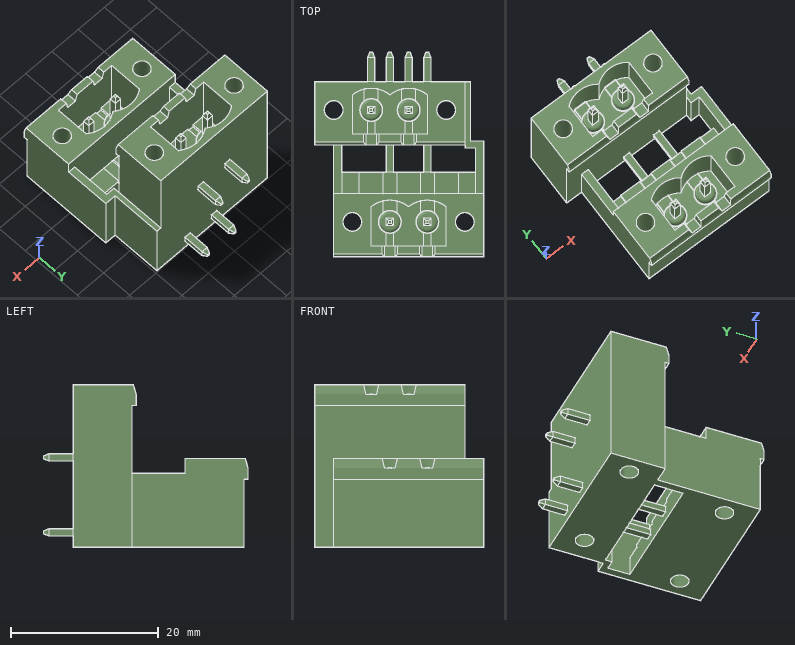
import cadquery as cq

pitch = 5.07
row_width = 20.33
row_offset_x = 2.52
row_offset_y = 15.12
tall_top = 22.0
low_top = 12.02

block_depth = 8.0
lip_reach = 0.55
lip_height = 2.83
lip_chamfer_reach = 0.4
lip_chamfer_height = 1.3
lip_front = block_depth + lip_reach

pocket_depth = 8.53
pocket_front = 7.1
pocket_corner = 1.77
pocket_arc_apex = 0.9

notch_top_width = 2.05
notch_bottom_width = 1.45
notch_depth = lip_chamfer_height

contact_y = 3.82
mounting_diameter = 2.5
mounting_spacing = 3 * pitch

pin_size = 1.0
pin_tip_size = 0.4
pin_tip_length = 0.75
pin_tip_below_top = 1.25
pin_tail = 4.02
tall_pin_z = 12.15
low_pin_z = 2.02
collar_diameter = 3.0
collar_fillet = 0.47
collar_base_diameter = 3.1
collar_base_height = 0.25
collar_height = 1.0

groove_depth = 0.5
rear_groove_width = 1.88

wall_top = 10.03
wall_thickness = 1.14
jog_depth = 0.97
side_strip = 0.75
ledge_depth = 2.9
ledge_center_width = 13.43

low_right = row_offset_x + row_width
low_rear = -row_offset_y

tall_row = (0, 0, tall_top, tall_pin_z)
low_row = (row_offset_x, low_rear, low_top, low_pin_z)
rows = (tall_row, low_row)


def box(x0, x1, y0, y1, z0, z1):
    """Box between two opposite corners."""
    return cq.Workplane("XY").box(x1 - x0, y1 - y0, z1 - z0, centered=False).translate((x0, y0, z0))


def contact_xs(left):
    """X positions of the two contacts of a row."""
    center = left + row_width / 2
    return (center - pitch / 2, center + pitch / 2)


def block(left, rear, top):
    """Connector block with the chamfered lip along its front edge."""
    return (
        cq.Workplane("YZ")
        .moveTo(rear, 0)
        .lineTo(rear - block_depth, 0)
        .lineTo(rear - block_depth, top - lip_height)
        .lineTo(rear - lip_front, top - lip_height)
        .lineTo(rear - lip_front, top - lip_chamfer_height)
        .lineTo(rear - lip_front + lip_chamfer_reach, top)
        .lineTo(rear, top)
        .close()
        .extrude(row_width)
        .translate((left, 0, 0))
    )


def joining_walls():
    """Left wall, and the right wall that jogs inward and runs along the tall block."""
    left_wall = box(row_offset_x, row_offset_x + wall_thickness, low_rear, -block_depth, 0, wall_top)
    right_wall = box(low_right - wall_thickness, low_right, low_rear, -block_depth, 0, wall_top)
    jog = box(row_width, low_right, -block_depth - jog_depth, -block_depth, 0, wall_top)
    strip = box(row_width, row_width + side_strip, -block_depth - jog_depth, 0, 0, wall_top)
    return left_wall.union(right_wall).union(jog).union(strip)


def ledge():
    """Low ledge behind the low block: a raised middle with a lower step at each end."""
    floor = low_top - pocket_depth
    center = row_offset_x + row_width / 2
    half = ledge_center_width / 2
    rear = low_rear + ledge_depth
    steps = box(row_offset_x, low_right, low_rear, rear, 0, floor - groove_depth)
    middle = box(center - half, center + half, low_rear, rear, 0, floor)
    return steps.union(middle)


def pocket(left, rear, top):
    """Plug pocket with a straight front wall and two arcs at the rear."""
    center = left + row_width / 2
    corner_y = rear - pocket_corner
    apex_y = rear - pocket_arc_apex
    front_y = rear - pocket_front
    return (
        cq.Workplane("XY", origin=(0, 0, top - pocket_depth))
        .moveTo(center - pitch, front_y)
        .lineTo(center + pitch, front_y)
        .lineTo(center + pitch, corner_y)
        .threePointArc((center + pitch / 2, apex_y), (center, corner_y))
        .threePointArc((center - pitch / 2, apex_y), (center - pitch, corner_y))
        .close()
        .extrude(pocket_depth)
    )


def notch(x, rear, top):
    """Tapered notch from the pocket through the front rim."""
    return (
        cq.Workplane("XZ", origin=(x, rear - pocket_front, top))
        .moveTo(-notch_top_width / 2, 0)
        .lineTo(notch_top_width / 2, 0)
        .lineTo(notch_bottom_width / 2, -notch_depth)
        .lineTo(-notch_bottom_width / 2, -notch_depth)
        .close()
        .extrude(lip_front - pocket_front)
    )


def floor_grooves(x, rear, groove_rear, top):
    """Wide groove behind the collar and narrow groove in front of it."""
    floor = top - pocket_depth
    collar_y = rear - contact_y
    overlap = collar_diameter / 2 - collar_fillet
    wide = box(
        x - rear_groove_width / 2, x + rear_groove_width / 2,
        collar_y + overlap, groove_rear, floor - groove_depth, floor,
    )
    narrow = box(
        x - pin_size / 2, x + pin_size / 2,
        rear - pocket_front, collar_y - overlap, floor - groove_depth, floor,
    )
    return wide.union(narrow)


def mounting_holes(left, rear, top):
    """Two vertical through holes beside the pocket."""
    return (
        cq.Workplane("XY", origin=(left + row_width / 2, rear - contact_y, 0))
        .pushPoints([(-mounting_spacing / 2, 0), (mounting_spacing / 2, 0)])
        .circle(mounting_diameter / 2)
        .extrude(top)
    )


def make_housing():
    """Both connector blocks with their joining walls and ledge, without the pin holes."""
    body = block(*tall_row[:3]).union(block(*low_row[:3])).union(joining_walls()).union(ledge())
    groove_rears = (-pocket_arc_apex, low_rear + ledge_depth)
    for (left, rear, top, _), groove_rear in zip(rows, groove_rears):
        body = body.cut(pocket(left, rear, top)).cut(mounting_holes(left, rear, top))
        for x in contact_xs(left):
            body = body.cut(notch(x, rear, top)).cut(floor_grooves(x, rear, groove_rear, top))
    return body


def pin_tip(plane):
    """Tapered square tip that starts on the given plane."""
    return (
        cq.Workplane(plane)
        .rect(pin_size, pin_size)
        .workplane(offset=pin_tip_length)
        .rect(pin_tip_size, pin_tip_size)
        .loft(combine=True)
    )


def make_pin(x, rear, top, leg_z):
    """Square right-angle pin: a leg out through the rear and a leg up into the pocket."""
    half = pin_size / 2
    y = rear - contact_y
    tail_y = pin_tail - pin_tip_length
    contact_z = top - pin_tip_below_top - pin_tip_length
    rear_leg = box(x - half, x + half, y - half, tail_y, leg_z - half, leg_z + half)
    upright_leg = box(x - half, x + half, y - half, y + half, leg_z - half, contact_z)
    rear_tip = pin_tip(cq.Plane(origin=(x, tail_y, leg_z), xDir=(1, 0, 0), normal=(0, 1, 0)))
    upper_tip = pin_tip(cq.Plane(origin=(x, y, contact_z), xDir=(1, 0, 0), normal=(0, 0, 1)))
    return rear_leg.union(upright_leg).union(rear_tip).union(upper_tip)


def make_collar(x, rear, top):
    """Round collar on the pocket floor: a wider base, a rounded rim and a square hole for the pin."""
    rim = (
        cq.Workplane("XY")
        .circle(collar_diameter / 2)
        .extrude(collar_height)
        .faces(">Z")
        .edges()
        .fillet(collar_fillet)
    )
    base = cq.Workplane("XY").circle(collar_base_diameter / 2).extrude(collar_base_height)
    pin_hole = cq.Workplane("XY").rect(pin_size, pin_size).extrude(collar_height)
    return rim.union(base).cut(pin_hole).translate((x, rear - contact_y, top - pocket_depth))


housing = make_housing()
pins = []
collars = []
for left, rear, top, leg_z in rows:
    for x in contact_xs(left):
        pin = make_pin(x, rear, top, leg_z)
        housing = housing.cut(pin)
        pins.append(pin.val())
        collars.append(make_collar(x, rear, top).val())

result = cq.Compound.makeCompound([housing.val(), *pins, *collars])